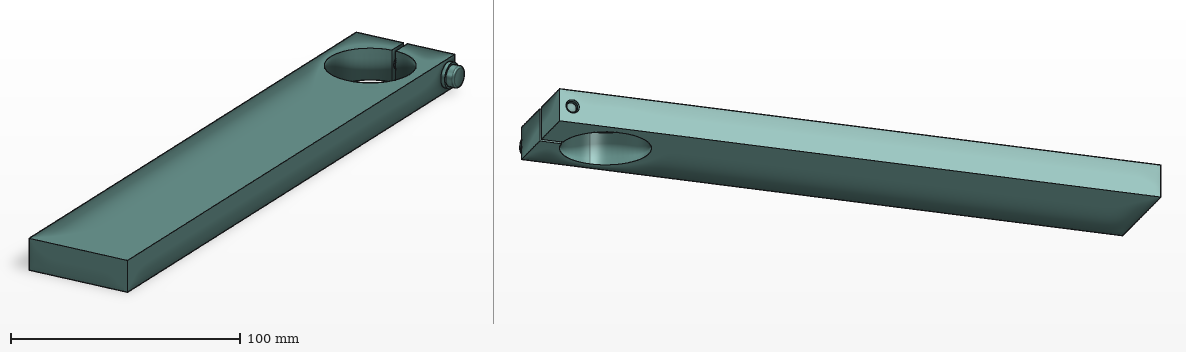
import cadquery as cq

arm_length = 278.0
arm_width = 50.0
arm_thickness = 15.0
bore_diameter = 40.0
bore_from_end = 30.0
slot_width = 2.0

clearance_diameter = 6.5
threaded_hole_diameter = 5.0
countersink_diameter = 6.0
countersink_depth = 0.5

shank_diameter = 6.0
thread_diameter = 4.7
tip_recess = 2.0
head_diameter = 10.0
head_edge_radius = 0.8
washer_diameter = 12.0
washer_thickness = 2.0
overall_width = 56.0

arm_side = arm_width / 2
arm_end = arm_length / 2
bore_y = arm_end - bore_from_end
screw_y = arm_end - washer_diameter / 2
head_start = arm_side + washer_thickness
head_height = overall_width - arm_width - washer_thickness


def rod(diameter, start_x, length):
    """Cylinder along +X on the screw axis, beginning at start_x."""
    return (
        cq.Workplane("YZ", origin=(start_x, screw_y, 0))
        .circle(diameter / 2)
        .extrude(length)
    )


def make_screw_hole():
    """Cutter for the hole across the slot, countersunk where it leaves the -X side."""
    threaded_hole = rod(threaded_hole_diameter, -arm_side, arm_side)
    clearance_hole = rod(clearance_diameter, 0, arm_side)
    countersink = cq.Workplane(
        cq.Solid.makeCone(
            countersink_diameter / 2,
            threaded_hole_diameter / 2,
            countersink_depth,
            pnt=cq.Vector(-arm_side, screw_y, 0),
            dir=cq.Vector(1, 0, 0),
        )
    )
    return threaded_hole.union(clearance_hole).union(countersink)


def make_arm():
    """Bar with the clamping bore, the slot that opens it at the end, and the screw hole."""
    bar = cq.Workplane("XY").box(arm_width, arm_length, arm_thickness)
    bore = (
        cq.Workplane("XY")
        .center(0, bore_y)
        .circle(bore_diameter / 2)
        .extrude(arm_thickness, both=True)
    )
    slot = (
        cq.Workplane("XY")
        .center(0, (bore_y + arm_end) / 2)
        .box(slot_width, bore_from_end, arm_thickness)
    )
    return bar.cut(bore).cut(slot).cut(make_screw_hole())


def make_washer():
    """Flat ring lying between the arm and the screw head."""
    disc = rod(washer_diameter, arm_side, washer_thickness)
    return disc.cut(rod(clearance_diameter, arm_side, washer_thickness))


def make_screw():
    """Round head on a plain shank that steps down to the thread in the middle of the slot."""
    head = rod(head_diameter, head_start, head_height)
    head = head.faces(">X").edges().fillet(head_edge_radius)
    shank = rod(shank_diameter, 0, head_start)
    thread_length = arm_side - tip_recess
    thread = rod(thread_diameter, -thread_length, thread_length)
    return head.union(shank).union(thread)


arm = make_arm()
washer = make_washer()
screw = make_screw()

result = cq.Compound.makeCompound([arm.val(), washer.val(), screw.val()])